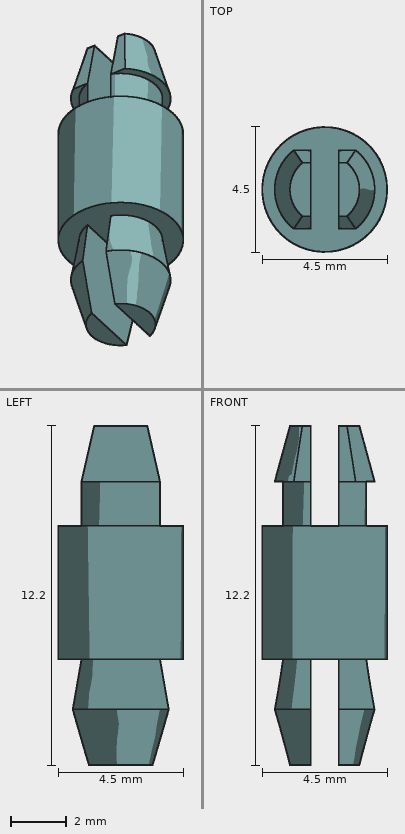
import cadquery as cq
import math

total_height = 12.2
body_diameter = 4.5
neck_diameter = 3.0
barb_diameter = 3.6
tip_diameter = 2.5
slot_width = 1.0
barb_height = 2.0
upper_neck_height = 1.6
lower_neck_height = 1.8
flat_tip_width = 1.92

body_bottom = barb_height + lower_neck_height
upper_barb_bottom = total_height - barb_height
body_top = upper_barb_bottom - upper_neck_height

flat_base_width = math.sqrt(neck_diameter**2 - slot_width**2)


def turned(bottom, top, bottom_diameter, top_diameter):
    """Solid cone or cylinder between two levels on the Z axis."""
    profile = [
        (0, bottom),
        (bottom_diameter / 2, bottom),
        (top_diameter / 2, top),
        (0, top),
    ]
    return cq.Workplane("XZ").polyline(profile).close().revolve(360, (0, 0), (0, 1))


def slotted(peg, bottom, top):
    """Split a peg into two prongs with a slot running along Y."""
    slot = cq.Workplane("XY").box(slot_width, body_diameter, top - bottom, centered=(True, True, False))
    return peg.cut(slot.translate((0, 0, bottom)))


def upper_barb():
    """Tapered barb with a sloping flat on each Y side."""
    cone = turned(upper_barb_bottom, total_height, barb_diameter, tip_diameter)
    between_flats = (
        cq.Workplane("YZ")
        .polyline([
            (-flat_base_width / 2, upper_barb_bottom),
            (flat_base_width / 2, upper_barb_bottom),
            (flat_tip_width / 2, total_height),
            (-flat_tip_width / 2, total_height),
        ])
        .close()
        .extrude(barb_diameter / 2, both=True)
    )
    return cone.intersect(between_flats)


upper_neck = turned(body_top, upper_barb_bottom, neck_diameter, neck_diameter)
upper_peg = slotted(upper_neck.union(upper_barb()), body_top, total_height)

lower_neck = turned(barb_height, body_bottom, barb_diameter, neck_diameter)
lower_barb = turned(0, barb_height, tip_diameter, barb_diameter)
lower_peg = slotted(lower_neck.union(lower_barb), 0, body_bottom)

body = turned(body_bottom, body_top, body_diameter, body_diameter)
result = body.union(upper_peg).union(lower_peg)